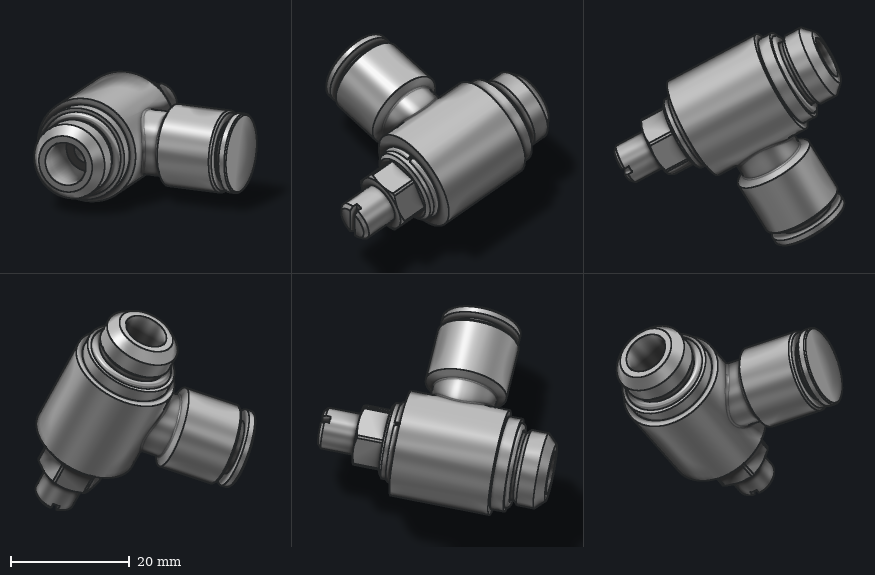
import cadquery as cq
import math


barrel_radius = 9.0
barrel_length = 17.0
barrel_end = barrel_length / 2
stem_core_radius = 6.5

neck_radius = 5.5
socket_radius = 7.0
socket_shoulder = 12.3
shoulder_angle = 60.0
socket_end = 22.05
socket_edge_chamfer = 0.35
shoulder_fillet = 0.3
neck_root_fillet = 0.47

lip_radius = 5.2
lip_end = 22.15
collet_radius = 4.7
collet_flange_radius = 6.75
collet_flange_start = 23.43
branch_end = 24.7
collet_flange_chamfer = 0.25

stem_length = 39.5
stem_top = 22.15
stem_bottom = stem_top - stem_length
screw_radius = 3.5
screw_chamfer = 0.65
screw_slot_width = 1.2
screw_slot_depth = 1.45

hex_top = 15.75
hex_bottom = 11.0
hex_across_flats = 9.95
hex_corner_radius = 5.6
hex_chamfer_height = 0.35

collar_chamfer_height = 0.47
collar_chamfer_width = 0.67
ring_center = 9.13
ring_section_radius = 0.55
ring_outer_radius = 6.9
ring_gap = 0.5

flange_radius = 8.0
flange_chamfer = 0.15
flange_bottom = -10.9
groove_radius = 5.8
o_ring_section_radius = 0.75

thread_radius = 6.48
thread_start = -12.13
thread_full = -12.85
thread_taper_start = -15.72
thread_tip_radius = 4.9
bore_radius = 3.7
bore_end = -barrel_end
orifice_radius = 2.3
orifice_end = 0.0


def cylinder_y(radius, start, end):
    """Solid cylinder on the Y axis between two Y positions."""
    return cq.Workplane("XZ", origin=(0, end, 0)).circle(radius).extrude(end - start)


def make_branch():
    """Neck, socket and collet, turned about the X axis from the origin outward."""
    shoulder_length = (socket_radius - neck_radius) / math.tan(math.radians(shoulder_angle))
    shoulder_start = socket_shoulder - shoulder_length
    branch = (
        cq.Workplane("XZ")
        .moveTo(0, 0)
        .lineTo(0, neck_radius)
        .lineTo(shoulder_start, neck_radius)
        .lineTo(socket_shoulder, socket_radius)
        .lineTo(socket_end - socket_edge_chamfer, socket_radius)
        .lineTo(socket_end, socket_radius - socket_edge_chamfer)
        .lineTo(socket_end, lip_radius)
        .lineTo(lip_end, lip_radius)
        .lineTo(lip_end, collet_radius)
        .lineTo(collet_flange_start, collet_radius)
        .lineTo(collet_flange_start, collet_flange_radius)
        .lineTo(branch_end - collet_flange_chamfer, collet_flange_radius)
        .lineTo(branch_end, collet_flange_radius - collet_flange_chamfer)
        .lineTo(branch_end, 0)
        .close()
        .revolve(360, (0, 0, 0), (1, 0, 0))
    )
    shoulder_corner = cq.selectors.NearestToPointSelector((shoulder_start, 0, 0))
    return branch.edges("%CIRCLE").edges(shoulder_corner).fillet(shoulder_fillet)


def make_housing():
    """Barrel with its side branch, bored through for the stem."""
    barrel = cylinder_y(barrel_radius, -barrel_end, barrel_end)
    body = barrel.union(make_branch())
    root_edges = cq.selectors.BoxSelector(
        (0, -neck_radius, -neck_radius),
        (barrel_radius, neck_radius, neck_radius),
    )
    body = body.edges(root_edges).fillet(neck_root_fillet)
    return body.cut(cylinder_y(stem_core_radius, -barrel_end, barrel_end))


def make_turned_stem():
    """Round parts of the stem, turned about the Y axis, without the split ring."""
    o_ring_radius = groove_radius + o_ring_section_radius
    return (
        cq.Workplane("YZ")
        .moveTo(stem_bottom, 0)
        .lineTo(stem_bottom, thread_tip_radius)
        .lineTo(thread_taper_start, thread_radius)
        .lineTo(thread_full, thread_radius)
        .lineTo(thread_start, groove_radius)
        .lineTo(flange_bottom, groove_radius)
        .threePointArc(
            (flange_bottom - o_ring_section_radius, o_ring_radius),
            (flange_bottom, o_ring_radius + o_ring_section_radius),
        )
        .lineTo(flange_bottom, flange_radius)
        .lineTo(-barrel_end - flange_chamfer, flange_radius)
        .lineTo(-barrel_end, flange_radius - flange_chamfer)
        .lineTo(-barrel_end, stem_core_radius)
        .lineTo(hex_bottom - collar_chamfer_height, stem_core_radius)
        .lineTo(hex_bottom, stem_core_radius - collar_chamfer_width)
        .lineTo(hex_bottom, screw_radius)
        .lineTo(stem_top - screw_chamfer, screw_radius)
        .lineTo(stem_top, screw_radius - screw_chamfer)
        .lineTo(stem_top, 0)
        .close()
        .revolve(360, (0, 0, 0), (1, 0, 0))
    )


def make_split_ring():
    """Round-section ring around the stem, with its gap facing +Z."""
    section_center = ring_outer_radius - ring_section_radius
    ring_bottom = ring_center - ring_section_radius
    ring_top = ring_center + ring_section_radius
    ring = (
        cq.Workplane("YZ")
        .moveTo(ring_bottom, section_center)
        .radiusArc((ring_center, ring_outer_radius), ring_section_radius)
        .radiusArc((ring_top, section_center), ring_section_radius)
        .close()
        .revolve(360, (0, 0, 0), (1, 0, 0))
    )
    gap = cq.Workplane("XY").box(
        ring_gap, 2 * ring_section_radius, ring_outer_radius, centered=(True, True, False)
    )
    return ring.cut(gap.translate((0, ring_center, 0)))


def make_hexagon():
    """Hexagon with flats facing +Z and -Z, its corners rounded off and its top edge chamfered."""
    hex_corner_diameter = hex_across_flats / math.cos(math.radians(30))
    prism = (
        cq.Workplane("XZ", origin=(0, hex_top, 0))
        .polygon(6, hex_corner_diameter)
        .extrude(hex_top - hex_bottom)
    )
    envelope = (
        cq.Workplane("YZ")
        .moveTo(hex_bottom, 0)
        .lineTo(hex_bottom, hex_corner_radius)
        .lineTo(hex_top - hex_chamfer_height, hex_corner_radius)
        .lineTo(hex_top, hex_across_flats / 2)
        .lineTo(hex_top, 0)
        .close()
        .revolve(360, (0, 0, 0), (1, 0, 0))
    )
    return prism.intersect(envelope)


def make_stem():
    """Stem with screw slot, hexagon, split ring and stepped bore."""
    screw_slot = cq.Workplane("XY").box(screw_slot_width, 2 * screw_slot_depth, 2 * screw_radius)
    stem = make_turned_stem().union(make_hexagon()).union(make_split_ring())
    stem = stem.cut(screw_slot.translate((0, stem_top, 0)))
    stem = stem.cut(cylinder_y(bore_radius, stem_bottom, bore_end))
    return stem.cut(cylinder_y(orifice_radius, bore_end, orifice_end))


housing = make_housing()
stem = make_stem()
result = cq.Compound.makeCompound([housing.val(), stem.val()])